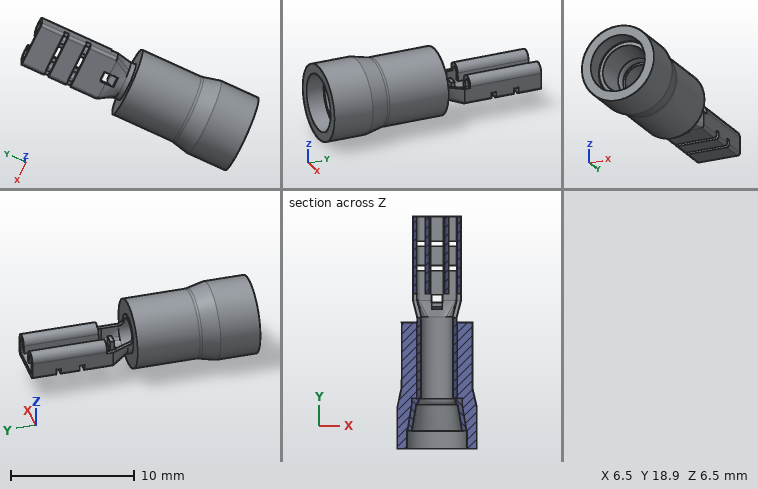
import cadquery as cq
import math

LENGTH = 18.86
SHEET = 0.34

MOUTH_RADIUS = 3.25
MOUTH_LENGTH = 3.38
BODY_RADIUS = 2.89
FLARE_END = 4.92
FLARE_FILLET = 0.95
HOUSING_LENGTH = 10.26
MOUTH_BORE_RADIUS = 2.43

LINER_START = 1.43
LINER_MOUTH_RADIUS = 2.04
LINER_SHOULDER_RADIUS = 1.68
LINER_THROAT_RADIUS = 1.47
SHOULDER_ROUND = 0.7
FLARE_ANGLE = 9.5

BARREL_RADIUS = 1.62
BARREL_BORE_RADIUS = BARREL_RADIUS - SHEET
NECK_END = 10.71
NECK_FILLET = NECK_END - HOUSING_LENGTH
NECK_TOP = 0.0
NECK_ANGLES = (220, 235)

CHANNEL_START = 12.07
CHANNEL_HALF_WIDTH = 1.96
CHANNEL_CORNER = 0.25
CHANNEL_INNER_CORNER = 0.15
CHANNEL_TOP = -0.25
FLOOR_BOTTOM = -BARREL_RADIUS
CURL_START = 12.58
CURL_RADIUS = 0.68
CURL_CENTRE_X = CHANNEL_HALF_WIDTH - CURL_RADIUS
CURL_CENTRE_Z = -0.1
CURL_LEAN = 8
CURL_LEG = 0.72

NOTCH_STARTS = (14.47, 16.45)
NOTCH_WIDTH = 0.4
NOTCH_TOP = -1.04

TAB_WIDTH = 0.87
TAB_BACK = 11.88
TAB_TOP = -0.25
TAB_BEND_Z = -0.89
TAB_BEND_RADIUS = 0.45
WINDOW_END = 12.5


def polar(centre, radius, degrees):
    """Point on a circle around centre."""
    angle = math.radians(degrees)
    return (centre[0] + radius * math.cos(angle), centre[1] + radius * math.sin(angle))


def revolve_about_axis(profile):
    """Revolve a profile of (radius, Y) points around the Y axis."""
    return profile.close().revolve(360, (0, 0, 0), (0, 1, 0))


def cylinder(radius, start, end):
    return cq.Workplane("XZ", origin=(0, start, 0)).circle(radius).extrude(start - end)


def block(width, start, end, bottom, top):
    """Box centred on X = 0."""
    size = (width, end - start, top - bottom)
    return cq.Workplane("XY").box(*size, centered=(True, False, False)).translate((0, start, bottom))


SHOULDER_ANGLE = math.degrees(math.acos(1 - (LINER_SHOULDER_RADIUS - LINER_THROAT_RADIUS) / SHOULDER_ROUND))
CONE_LENGTH = (LINER_MOUTH_RADIUS - LINER_SHOULDER_RADIUS) / math.sin(math.radians(FLARE_ANGLE))

MOUTH_INNER = (LINER_MOUTH_RADIUS, LINER_START)
MOUTH_OUTER = polar(MOUTH_INNER, SHEET, FLARE_ANGLE)
CONE_END_INNER = polar(MOUTH_INNER, CONE_LENGTH, FLARE_ANGLE + 90)
CONE_END_OUTER = polar(MOUTH_OUTER, CONE_LENGTH, FLARE_ANGLE + 90)
LINER_END = CONE_END_INNER[1] + SHOULDER_ROUND * math.sin(math.radians(SHOULDER_ANGLE))
THROAT = (LINER_THROAT_RADIUS, LINER_END)


def make_liner():
    shoulder_centre = (LINER_THROAT_RADIUS + SHOULDER_ROUND, LINER_END)
    shoulder_middle = polar(shoulder_centre, SHOULDER_ROUND, 180 + SHOULDER_ANGLE / 2)
    profile = (
        cq.Workplane("XY")
        .moveTo(*MOUTH_INNER)
        .lineTo(*MOUTH_OUTER)
        .lineTo(*CONE_END_OUTER)
        .lineTo(CONE_END_OUTER[0], LINER_END)
        .lineTo(*THROAT)
        .threePointArc(shoulder_middle, CONE_END_INNER)
    )
    return revolve_about_axis(profile)


def make_housing():
    outline = (
        cq.Workplane("XY")
        .lineTo(MOUTH_RADIUS, 0)
        .lineTo(MOUTH_RADIUS, MOUTH_LENGTH)
        .lineTo(BODY_RADIUS, FLARE_END)
        .lineTo(BODY_RADIUS, HOUSING_LENGTH)
        .lineTo(0, HOUSING_LENGTH)
    )
    body = revolve_about_axis(outline)
    flare_edge = cq.selectors.NearestToPointSelector((0, FLARE_END, 0))
    body = body.edges(flare_edge).fillet(FLARE_FILLET)
    return body.cut(make_cavity())


def make_cavity():
    """Mouth bore, seat of the liner and hole for the barrel."""
    profile = (
        cq.Workplane("XY")
        .lineTo(MOUTH_BORE_RADIUS, 0)
        .lineTo(MOUTH_BORE_RADIUS, MOUTH_OUTER[1])
        .lineTo(*MOUTH_OUTER)
        .lineTo(*CONE_END_OUTER)
        .lineTo(CONE_END_OUTER[0], LINER_END)
        .lineTo(BARREL_RADIUS, LINER_END)
        .lineTo(BARREL_RADIUS, HOUSING_LENGTH)
        .lineTo(0, HOUSING_LENGTH)
    )
    return revolve_about_axis(profile)


def make_barrel():
    """Tube whose upper half is cut away behind the housing, with a rounded run-out."""
    barrel = cylinder(BARREL_RADIUS, LINER_END, NECK_END)
    opening = block(2 * MOUTH_RADIUS, HOUSING_LENGTH, NECK_END + NECK_FILLET, NECK_TOP, MOUTH_RADIUS)
    opening = opening.edges("|X and <Y and <Z").fillet(NECK_FILLET)
    return barrel.cut(cylinder(BARREL_BORE_RADIUS, LINER_END, NECK_END)).cut(opening)


def neck_side(radius):
    """Half circle from left to right in five arcs, as (middle, end) pairs."""
    wall_end, floor_start = NECK_ANGLES
    stops = (180, wall_end, floor_start, 540 - floor_start, 540 - wall_end, 360)
    return [
        (polar((0, 0), radius, (start + end) / 2), polar((0, 0), radius, end))
        for start, end in zip(stops, stops[1:])
    ]


def neck_section(y):
    outer = neck_side(BARREL_RADIUS)
    inner = neck_side(BARREL_BORE_RADIUS)
    section = cq.Workplane("XZ", origin=(0, y, 0)).moveTo(-BARREL_RADIUS, NECK_TOP)
    for middle, end in outer:
        section = section.threePointArc(middle, end)
    section = section.lineTo(BARREL_BORE_RADIUS, NECK_TOP)
    for (mx, mz), (ex, ez) in inner:
        section = section.threePointArc((-mx, mz), (-ex, ez))
    return section.close()


def channel_section(y):
    """U-shaped section with rounded corners."""
    outer = CHANNEL_HALF_WIDTH
    inner = CHANNEL_HALF_WIDTH - SHEET
    floor = FLOOR_BOTTOM + SHEET
    r_out = CHANNEL_CORNER
    r_in = CHANNEL_INNER_CORNER
    return (
        cq.Workplane("XZ", origin=(0, y, 0))
        .moveTo(-outer, CHANNEL_TOP)
        .lineTo(-outer, FLOOR_BOTTOM + r_out)
        .radiusArc((r_out - outer, FLOOR_BOTTOM), -r_out)
        .lineTo(outer - r_out, FLOOR_BOTTOM)
        .radiusArc((outer, FLOOR_BOTTOM + r_out), -r_out)
        .lineTo(outer, CHANNEL_TOP)
        .lineTo(inner, CHANNEL_TOP)
        .lineTo(inner, floor + r_in)
        .radiusArc((inner - r_in, floor), r_in)
        .lineTo(r_in - inner, floor)
        .radiusArc((-inner, floor + r_in), r_in)
        .lineTo(-inner, CHANNEL_TOP)
        .close()
    )


def make_transition():
    """Ruled sheet from the round neck to the U-shaped channel."""
    sections = [neck_section(NECK_END).val(), channel_section(CHANNEL_START).val()]
    return cq.Workplane(obj=cq.Solid.makeLoft(sections, True))


def make_curl():
    """Right-hand rolled wall: up from the channel wall, over the arch and down its free leg."""
    centre = (CURL_CENTRE_X, CURL_CENTRE_Z)
    inner_radius = CURL_RADIUS - SHEET
    leg_angle = 180 - CURL_LEAN
    arch_angle = leg_angle / 2
    outer_leg = polar(centre, CURL_RADIUS, leg_angle)
    inner_leg = polar(centre, inner_radius, leg_angle)
    leg_direction = leg_angle + 90
    return (
        cq.Workplane("XZ", origin=(0, CURL_START, 0))
        .moveTo(CHANNEL_HALF_WIDTH, CHANNEL_TOP)
        .lineTo(CHANNEL_HALF_WIDTH, CURL_CENTRE_Z)
        .threePointArc(polar(centre, CURL_RADIUS, arch_angle), outer_leg)
        .lineTo(*polar(outer_leg, CURL_LEG, leg_direction))
        .lineTo(*polar(inner_leg, CURL_LEG, leg_direction))
        .lineTo(*inner_leg)
        .threePointArc(polar(centre, inner_radius, arch_angle), (CURL_CENTRE_X + inner_radius, CURL_CENTRE_Z))
        .lineTo(CHANNEL_HALF_WIDTH - SHEET, CHANNEL_TOP)
        .close()
        .extrude(CURL_START - LENGTH)
    )


def make_tab():
    """Wire stop, bent up from the floor through an arc."""
    outer_radius = TAB_BEND_RADIUS + SHEET
    bend_centre = (TAB_BACK - outer_radius, TAB_BEND_Z)
    outer_start_angle = -math.degrees(math.asin((TAB_BEND_Z - FLOOR_BOTTOM) / outer_radius))
    inner_start_angle = -math.degrees(math.asin((TAB_BEND_Z - FLOOR_BOTTOM - SHEET) / TAB_BEND_RADIUS))
    outer_start = polar(bend_centre, outer_radius, outer_start_angle)
    inner_start = polar(bend_centre, TAB_BEND_RADIUS, inner_start_angle)
    tab = (
        cq.Workplane("YZ")
        .moveTo(*outer_start)
        .threePointArc(polar(bend_centre, outer_radius, outer_start_angle / 2), (TAB_BACK, TAB_BEND_Z))
        .lineTo(TAB_BACK, TAB_TOP)
        .lineTo(TAB_BACK - SHEET, TAB_TOP)
        .lineTo(TAB_BACK - SHEET, TAB_BEND_Z)
        .threePointArc(polar(bend_centre, TAB_BEND_RADIUS, inner_start_angle / 2), inner_start)
        .close()
        .extrude(TAB_WIDTH / 2, both=True)
    )
    return tab, inner_start[0]


def make_terminal():
    curl = make_curl()
    channel = channel_section(CHANNEL_START).extrude(CHANNEL_START - LENGTH)
    terminal = make_barrel().union(make_transition()).union(channel)
    terminal = terminal.union(curl).union(curl.mirror("YZ"))

    tab, window_start = make_tab()
    window = block(TAB_WIDTH, window_start, WINDOW_END, 2 * FLOOR_BOTTOM, TAB_BEND_Z)
    terminal = terminal.cut(window).union(tab)

    for start in NOTCH_STARTS:
        notch = block(3 * CHANNEL_HALF_WIDTH, start, start + NOTCH_WIDTH, 2 * FLOOR_BOTTOM, NOTCH_TOP)
        terminal = terminal.cut(notch)
    return terminal


housing = make_housing()
liner = make_liner()
terminal = make_terminal()

result = cq.Compound.makeCompound([housing.solids().val(), liner.solids().val(), terminal.solids().val()])